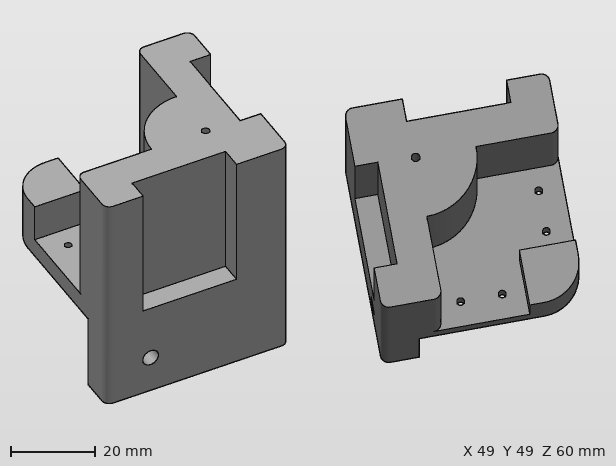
import cadquery as cq

SIDE = 49.0
HEIGHT = 60.0
OUTER_RADIUS = 2.0
FRONT_RADIUS = 10.0

PLATE_BOTTOM = 20.0
PLATE_TOP = 25.0
WALL_THICKNESS = 14.5
WALL_FACE = SIDE - WALL_THICKNESS
WALL_END_RADIUS = 2.0
COLUMN_RADIUS = WALL_THICKNESS

POST_SIDE = 13.5
POST_TOP = 35.0

FOOT_CORNER = 20.0
LEG_START = 40.0

POCKET_START = 10.0
POCKET_LENGTH = 25.0
POCKET_DEPTH = 5.5
POCKET_FLOOR = PLATE_TOP

PLATE_HOLE_DIAMETER = 1.8
PLATE_HOLE_INSET = 6.0
PLATE_HOLE_POSITIONS = (19.0, 29.0)
COLUMN_HOLE_DIAMETER = 2.0
COLUMN_HOLE_DEPTH = 10.0
LEG_HOLE_DIAMETER = 4.2
LEG_HOLE_POSITION = 12.0
LEG_HOLE_HEIGHT = 10.0


def box(x, y, z, length, width, height):
    """Box with its lowest corner at (x, y, z)."""
    return cq.Workplane("XY").box(length, width, height, centered=False).translate((x, y, z))


def upright_cylinder(x, y, z, diameter, height):
    """Vertical cylinder standing on z."""
    return cq.Workplane("XY", origin=(x, y, z)).circle(diameter / 2).extrude(height)


def mirrored_pair(shape):
    """Shape joined with its mirror image across the diagonal plane X = Y."""
    swapped = shape.mirror("YZ").rotate((0, 0, 0), (0, 0, 1), -90)
    return shape.union(swapped)


def outer_block():
    """Full-height block with its four rounded upright corners."""
    block = box(0, 0, 0, SIDE, SIDE, HEIGHT)
    block = block.edges("|Z").edges("<(1, 1, 0)").fillet(FRONT_RADIUS)
    for corner in (">(1, 1, 0)", ">(1, -1, 0)", "<(1, -1, 0)"):
        block = block.edges("|Z").edges(corner).fillet(OUTER_RADIUS)
    return block


def inner_space():
    """Space above the plate, around the round column and the corner post."""
    depth = HEIGHT - PLATE_TOP
    opening = WALL_FACE + WALL_END_RADIUS
    outline = (
        cq.Workplane("XY", origin=(0, 0, PLATE_TOP))
        .lineTo(opening, 0)
        .radiusArc((WALL_FACE, WALL_END_RADIUS), WALL_END_RADIUS)
        .lineTo(WALL_FACE, WALL_FACE)
        .lineTo(WALL_END_RADIUS, WALL_FACE)
        .radiusArc((0, opening), WALL_END_RADIUS)
        .close()
    )
    space = outline.extrude(depth)
    column = upright_cylinder(WALL_FACE, WALL_FACE, PLATE_TOP, 2 * COLUMN_RADIUS, depth)
    post = box(0, 0, PLATE_TOP, POST_SIDE, POST_SIDE, POST_TOP - PLATE_TOP)
    return space.cut(column).cut(post)


def undercut():
    """L-shaped space below the plate."""
    return mirrored_pair(box(0, 0, 0, LEG_START, FOOT_CORNER, PLATE_BOTTOM))


def wall_pockets():
    """Rectangular pocket in the outer face of each wall."""
    depth = HEIGHT - POCKET_FLOOR
    pocket = box(POCKET_START, SIDE - POCKET_DEPTH, POCKET_FLOOR, POCKET_LENGTH, POCKET_DEPTH, depth)
    return mirrored_pair(pocket)


def plate_holes():
    """Row of holes through the plate along each of its two free edges."""
    row = (
        cq.Workplane("XY", origin=(0, 0, PLATE_BOTTOM))
        .pushPoints([(position, PLATE_HOLE_INSET) for position in PLATE_HOLE_POSITIONS])
        .circle(PLATE_HOLE_DIAMETER / 2)
        .extrude(PLATE_TOP - PLATE_BOTTOM)
    )
    return mirrored_pair(row)


def column_hole():
    """Blind hole on the axis of the round column."""
    bottom = HEIGHT - COLUMN_HOLE_DEPTH
    return upright_cylinder(WALL_FACE, WALL_FACE, bottom, COLUMN_HOLE_DIAMETER, COLUMN_HOLE_DEPTH)


def leg_holes():
    """Horizontal hole through the thickness of each leg."""
    hole = (
        cq.Workplane("XZ", origin=(LEG_HOLE_POSITION, SIDE, LEG_HOLE_HEIGHT))
        .circle(LEG_HOLE_DIAMETER / 2)
        .extrude(SIDE - LEG_START)
    )
    return mirrored_pair(hole)


result = (
    outer_block()
    .cut(inner_space())
    .cut(undercut())
    .cut(wall_pockets())
    .cut(plate_holes())
    .cut(column_hole())
    .cut(leg_holes())
)